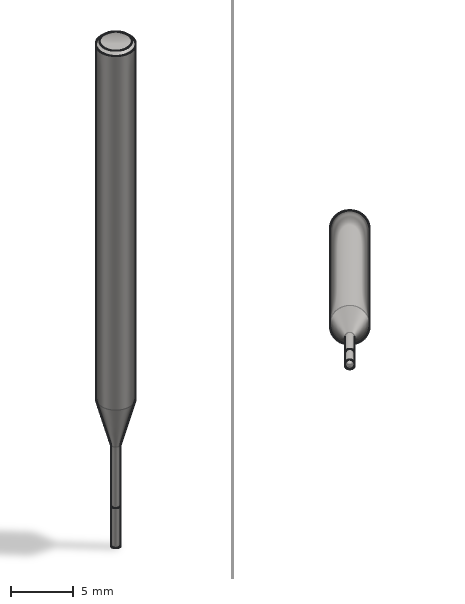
import cadquery as cq
import math

overall_length = 50.16
shank_diameter = 3.175
drill_diameter = 0.79

cutter_top = 4.15
neck_top = 10.2
taper_top = 14.75

point_angle = 130
chamfer_size = 0.3

shank_radius = shank_diameter / 2
drill_radius = drill_diameter / 2
point_height = drill_radius / math.tan(math.radians(point_angle / 2))


def turned_body(outline):
    """Revolve a closed outline of (radius, height) points about the Z axis."""
    return cq.Workplane("XZ").polyline(outline).close().revolve(360, (0, 0), (0, 1))


cutter = turned_body([
    (0, 0),
    (drill_radius, point_height),
    (drill_radius, cutter_top),
    (0, cutter_top),
])

shank = turned_body([
    (0, cutter_top),
    (drill_radius, cutter_top),
    (drill_radius, neck_top),
    (shank_radius, taper_top),
    (shank_radius, overall_length - chamfer_size),
    (shank_radius - chamfer_size, overall_length),
    (0, overall_length),
])

result = cq.Compound.makeCompound([cutter.val(), shank.val()])